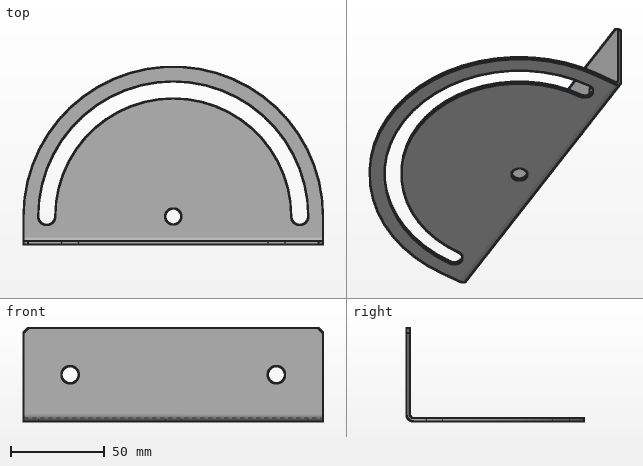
import cadquery as cq

width = 160.0
height = 50.0
thickness = 2.0
inner_bend_radius = 2.0
pivot_to_wall_face = 15.0
slot_outer_radius = 72.0
slot_width = 9.0
pivot_hole_diameter = 8.5
wall_hole_diameter = 9.1
wall_hole_spacing = 110.0
corner_chamfer = 2.5

plate_radius = width / 2
wall_face_y = -pivot_to_wall_face
outer_bend_radius = inner_bend_radius + thickness
slot_inner_radius = slot_outer_radius - slot_width
slot_mid_radius = slot_outer_radius - slot_width / 2
wall_hole_height = height / 2


def bent_sheet():
    """L-shaped sheet with a rounded bend along X."""
    base_depth = pivot_to_wall_face + plate_radius
    base = cq.Workplane("XY").box(width, base_depth, thickness, centered=(True, False, False))
    wall = cq.Workplane("XY").box(width, thickness, height, centered=(True, False, False))
    bend_fill = cq.Workplane("XY").box(
        width, outer_bend_radius, outer_bend_radius, centered=(True, False, False)
    )
    bend_axis = (
        cq.Workplane("YZ", origin=(-width / 2, 0, 0))
        .center(outer_bend_radius, outer_bend_radius)
    )
    inner_bend = bend_axis.circle(inner_bend_radius).extrude(width)
    sheet = base.union(wall).union(bend_fill.cut(inner_bend))
    sheet = sheet.edges("|X and <Y and <Z").fillet(outer_bend_radius)
    return sheet.translate((0, wall_face_y, 0))


def rounded_outline():
    """Tall half-round prism that trims the base to its plan shape."""
    return (
        cq.Workplane("XY")
        .moveTo(-plate_radius, wall_face_y)
        .lineTo(plate_radius, wall_face_y)
        .lineTo(plate_radius, 0)
        .threePointArc((0, plate_radius), (-plate_radius, 0))
        .close()
        .extrude(height)
    )


def arc_slot():
    """Half-circle slot around the pivot with round ends."""
    end_radius = slot_width / 2
    return (
        cq.Workplane("XY")
        .moveTo(-slot_outer_radius, 0)
        .threePointArc((0, slot_outer_radius), (slot_outer_radius, 0))
        .threePointArc((slot_mid_radius, -end_radius), (slot_inner_radius, 0))
        .threePointArc((0, slot_inner_radius), (-slot_inner_radius, 0))
        .threePointArc((-slot_mid_radius, -end_radius), (-slot_outer_radius, 0))
        .close()
        .extrude(thickness)
    )


def pivot_hole():
    return cq.Workplane("XY").circle(pivot_hole_diameter / 2).extrude(thickness)


def wall_holes():
    """Pair of mounting holes through the wall."""
    return (
        cq.Workplane("XZ", origin=(0, wall_face_y, wall_hole_height))
        .pushPoints([(side * wall_hole_spacing / 2, 0) for side in (-1, 1)])
        .circle(wall_hole_diameter / 2)
        .extrude(-thickness)
    )


bracket = bent_sheet().intersect(rounded_outline())

bracket = bracket.faces(">Z").edges("|Y").chamfer(corner_chamfer)

result = bracket.cut(arc_slot()).cut(pivot_hole()).cut(wall_holes())